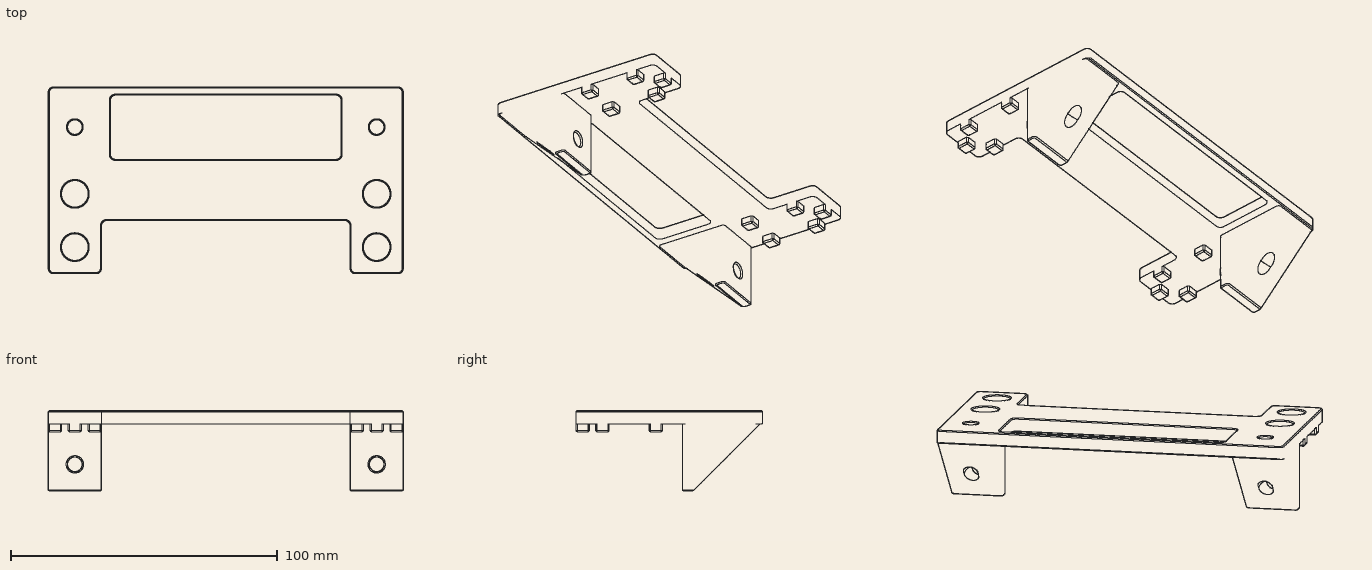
import cadquery as cq

width = 133.0
depth = 70.0
height = 30.0

plate_thickness = 5.0
plate_bottom = height - plate_thickness
arm_width = 20.0
arm_length = 20.0
corner_radius = 2.0
edge_chamfer = 0.4

window_width = 86.5
window_depth = 24.1
window_back_margin = 3.0

leg_front = 39.9
leg_foot = 4.0
leg_edge_radius = 1.0

screw_diameter = 5.5
plate_hole_chamfer = 0.4
leg_hole_chamfer = 0.5
arm_center = width / 2 - arm_width / 2
plate_screw_y = 54.9
leg_screw_z = 10.0

pocket_diameter = 10.0
pocket_depth = 2.7
pocket_spacing = 20.0
front_pocket_y = arm_width / 2
pocket_rows = [front_pocket_y, front_pocket_y + pocket_spacing]

pad_size = 5.0
pad_height = 2.9
pad_chamfer = 0.5


def make_plate():
    """U-shaped plate with rounded corners, a window and chamfered top and lower back edges."""
    notch_width = width - 2 * arm_width
    window_y = depth - window_back_margin - window_depth / 2
    blank = cq.Workplane("XY").box(width, depth, plate_thickness, centered=(True, False, False))
    blank = blank.edges("<Z and >Y").chamfer(edge_chamfer)
    notch = cq.Workplane("XY").box(notch_width, arm_length, plate_thickness, centered=(True, False, False))
    window = (
        cq.Workplane("XY")
        .center(0, window_y)
        .rect(window_width, window_depth)
        .extrude(plate_thickness)
    )
    plate = blank.cut(notch).cut(window).edges("|Z").fillet(corner_radius)
    plate = plate.faces(">Z").edges().chamfer(edge_chamfer)
    return plate.translate((0, 0, plate_bottom))


def make_leg(center_x):
    """Solid triangular leg with a 45 degree back and rounded side edges."""
    slope_run = plate_bottom
    leg = (
        cq.Workplane("YZ")
        .moveTo(leg_front, 0)
        .lineTo(leg_front + leg_foot, 0)
        .lineTo(leg_front + leg_foot + slope_run, plate_bottom)
        .lineTo(leg_front, plate_bottom)
        .close()
        .extrude(arm_width / 2, both=True)
    )
    leg = leg.edges("|Z or (not (|X or |Y))").fillet(leg_edge_radius)
    leg = leg.faces("<Z").edges().chamfer(edge_chamfer)
    return leg.translate((center_x, 0, 0))


def make_pad(x, y):
    """Square pad hanging from the plate, chamfered on its corners and lower face."""
    pad = cq.Workplane("XY").box(pad_size, pad_size, pad_height, centered=(True, True, False))
    pad = pad.edges("|Z or <Z").chamfer(pad_chamfer)
    return pad.translate((x, y, plate_bottom - pad_height))


def make_pads(center_x):
    """One pad at the arm end and a pair at the arm sides beside each pocket."""
    side_offset = (arm_width - pad_size) / 2
    pads = make_pad(center_x, pad_size / 2)
    for row_y in pocket_rows:
        for side in (-1, 1):
            pads = pads.add(make_pad(center_x + side * side_offset, row_y))
    return pads.combine()


def chamfered_bore(diameter, bore_depth, chamfer):
    """Cutter running down from Z = 0 with a chamfered mouth."""
    bore = cq.Workplane("XY").circle(diameter / 2).extrude(-bore_depth)
    mouth = (
        cq.Workplane("XY")
        .circle(diameter / 2 + chamfer)
        .extrude(-chamfer, taper=45)
    )
    return bore.union(mouth)


result = make_plate()
for side in (-1, 1):
    x = side * arm_center
    result = result.union(make_leg(x)).union(make_pads(x))

    plate_screw = chamfered_bore(screw_diameter, height, plate_hole_chamfer)
    plate_screw = plate_screw.translate((x, plate_screw_y, height))
    leg_screw = (
        chamfered_bore(screw_diameter, depth, leg_hole_chamfer)
        .rotate((0, 0, 0), (1, 0, 0), 90)
        .translate((x, leg_front, leg_screw_z))
    )
    result = result.cut(plate_screw).cut(leg_screw)

    for row_y in pocket_rows:
        pocket = chamfered_bore(pocket_diameter, pocket_depth, plate_hole_chamfer)
        result = result.cut(pocket.translate((x, row_y, height)))